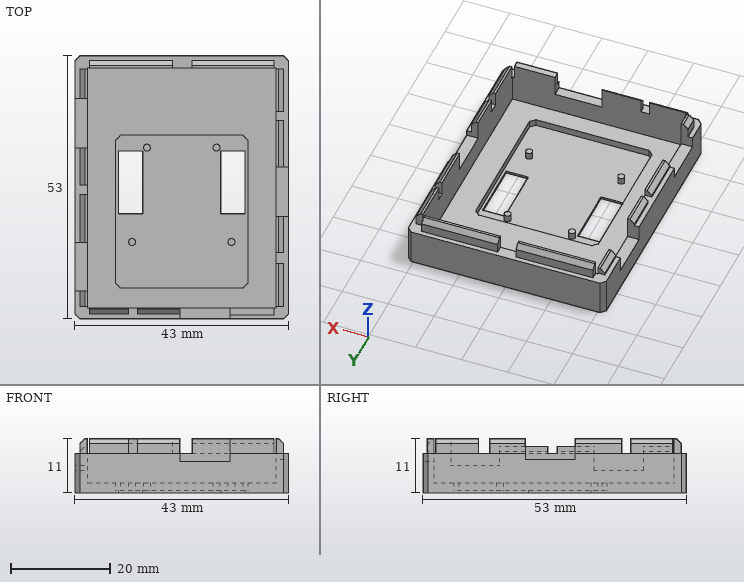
import cadquery as cq

length_x = 43.0
length_y = 53.0
rim_height = 8.0
corner_chamfer = 1.0
floor_thickness = 2.0

cavity_half_x = 19.0
cavity_back_y = 24.0
cavity_front_y = -24.3

lip_inset = 1.0
lip_bevel = 1.0
lip_top = 11.0
short_lip_top = 9.4
thick_lip_extra = 0.2
lip_end_x = 18.6
lip_back_end_y = 23.8
lip_front_end_y = -24.0

pocket_half_x = 13.3
pocket_back_y = 10.5
pocket_front_y = -20.3
pocket_corner_chamfer = 1.0
pocket_floor_z = 0.5
window_inner_x = 7.9
window_outer_x = 12.7
window_front_y = -5.3
window_back_y = 7.3
pin_diameter = 1.4
pin_height = floor_thickness - pocket_floor_z
back_pin_x = 7.0
back_pin_y = 8.0
front_pin_x = 10.0
front_pin_y = -11.0

front_notch = (-0.4, 9.75)
front_notch_z = 6.4
left_back_notch = (7.9, 17.9)
left_back_notch_z = 4.6
left_front_notch = (-20.9, -11.1)
left_front_notch_z = 5.6
right_notch = (-5.9, 4.1)
right_notch_z = 6.8

front_lips = [(-lip_end_x, -10.7), (-8.9, front_notch[0])]
front_thick_lip = (front_notch[1], lip_end_x)
back_lips = [(-lip_end_x, -1.9), (2.1, lip_end_x)]
left_short_lips = [
    (left_front_notch[1], -1.4),
    (0.5, left_back_notch[0]),
    (left_back_notch[1], lip_back_end_y),
]
left_tall_lip = (lip_front_end_y, left_front_notch[0])
right_lips = [
    (lip_front_end_y, -15.3),
    (-13.1, right_notch[0]),
    (right_notch[1], 13.5),
    (15.3, lip_back_end_y),
]

half_x = length_x / 2
half_y = length_y / 2


def box(x_span, y_span, z_span):
    """Box between the two ends of each span."""
    size = [abs(span[1] - span[0]) for span in (x_span, y_span, z_span)]
    low_corner = (min(x_span), min(y_span), min(z_span))
    return cq.Workplane("XY").box(*size, centered=False).translate(low_corner)


def lip_profile(inner, outer, top):
    """Closed cross-section of a lip whose top outer edge is bevelled."""
    bevel = lip_bevel if outer > inner else -lip_bevel
    return [
        (inner, rim_height),
        (outer, rim_height),
        (outer, top - lip_bevel),
        (outer - bevel, top),
        (inner, top),
    ]


def lip_along_y(inner_x, outer_x, span, top):
    profile = cq.Workplane("XZ", origin=(0, span[1], 0)).polyline(lip_profile(inner_x, outer_x, top))
    return profile.close().extrude(span[1] - span[0])


def lip_along_x(inner_y, outer_y, span, top):
    profile = cq.Workplane("YZ", origin=(span[0], 0, 0)).polyline(lip_profile(inner_y, outer_y, top))
    return profile.close().extrude(span[1] - span[0])


def make_tray():
    tray = box((-half_x, half_x), (-half_y, half_y), (0, rim_height)).edges("|Z").chamfer(corner_chamfer)
    cavity_x = (-cavity_half_x, cavity_half_x)
    return tray.cut(box(cavity_x, (cavity_front_y, cavity_back_y), (floor_thickness, rim_height)))


def add_lips(part):
    lip_x = half_x - lip_inset
    lip_y = half_y - lip_inset
    for span in front_lips:
        part = part.union(lip_along_x(cavity_front_y, -lip_y, span, lip_top))
    part = part.union(box(front_thick_lip, (-lip_y - thick_lip_extra, cavity_front_y), (rim_height, lip_top)))
    for span in back_lips:
        part = part.union(lip_along_x(cavity_back_y, lip_y, span, lip_top))
    for span in left_short_lips:
        part = part.union(lip_along_y(-cavity_half_x, -lip_x, span, short_lip_top))
    part = part.union(lip_along_y(-cavity_half_x, -lip_x, left_tall_lip, lip_top))
    for span in right_lips:
        part = part.union(lip_along_y(cavity_half_x, lip_x, span, lip_top))
    return part


def cut_notches(part):
    left_wall = (-half_x, -cavity_half_x)
    right_wall = (cavity_half_x, half_x)
    front_wall = (-half_y, cavity_front_y)
    part = part.cut(box(left_wall, left_back_notch, (left_back_notch_z, lip_top)))
    part = part.cut(box(left_wall, left_front_notch, (left_front_notch_z, lip_top)))
    part = part.cut(box(right_wall, right_notch, (right_notch_z, lip_top)))
    return part.cut(box(front_notch, front_wall, (front_notch_z, lip_top)))


def cut_floor(part):
    pocket = box(
        (-pocket_half_x, pocket_half_x),
        (pocket_front_y, pocket_back_y),
        (pocket_floor_z, floor_thickness),
    )
    part = part.cut(pocket.edges("|Z").chamfer(pocket_corner_chamfer))
    for side in (-1, 1):
        window_x = (side * window_inner_x, side * window_outer_x)
        part = part.cut(box(window_x, (window_front_y, window_back_y), (0, floor_thickness)))
    return part


def add_pins(part):
    places = []
    for side in (-1, 1):
        places.append((side * back_pin_x, back_pin_y))
        places.append((side * front_pin_x, front_pin_y))
    pins = cq.Workplane("XY").workplane(offset=pocket_floor_z).pushPoints(places)
    return part.union(pins.circle(pin_diameter / 2).extrude(pin_height))


result = make_tray()
result = add_lips(result)
result = cut_notches(result)
result = cut_floor(result)
result = add_pins(result)